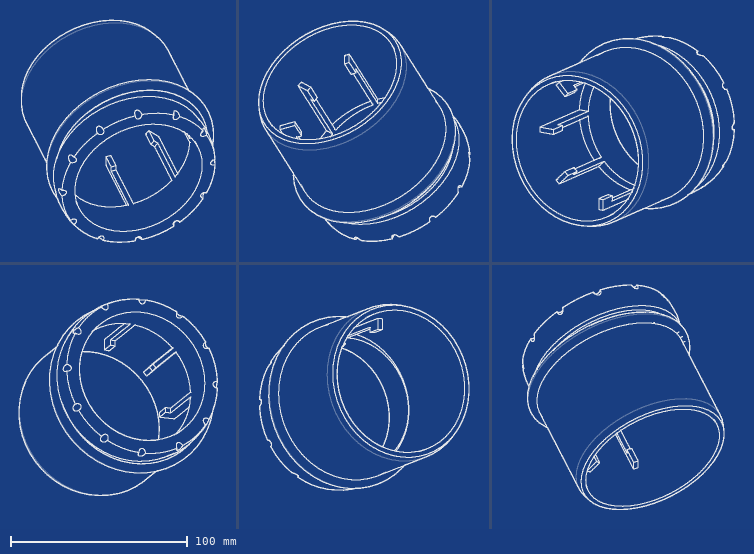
import cadquery as cq

TUBE_RADIUS = 90.2 / 2
WALL = 4.2
BORE_RADIUS = TUBE_RADIUS - WALL
CHAMFER_LENGTH = 4.3
CHAMFER_DEPTH = 1.3

BEAD_RADIUS = 3.2
BEAD_X = 64.9
BEAD_OUTER_RADIUS = 49.5

NECK_RADIUS = 84.0 / 2
NECK_BORE_RADIUS = NECK_RADIUS - WALL
HEAD_SHIFT = -2.9
TAPER_START = BEAD_X + BEAD_RADIUS
NECK_START = 71.6
HEAD_START = 73.6
TOTAL_LENGTH = 89.4
HEAD_EDGE_RADIUS = 45.5
HEAD_CROWN_RADIUS = 46.6
SHELF_X = 66.3

RIB_ANGLES = (-90, -45, 0, 45, 90)
RIB_WIDTH = 2.9
RIB_START = 24.75
RIB_TALL_LENGTH = 9.7
RIB_TIP_RADIUS = 34.7
RIB_OVERLAP = 1

NOTCH_COUNT = 12
NOTCH_RADIUS = 2
NOTCH_TILT = 44
NOTCH_CUTTER_LENGTH = 7.9


def disc(radius, start, end, shift=0):
    """Solid cylinder along X between two stations, shifted along Y."""
    return cq.Workplane("YZ", origin=(start, shift, 0)).circle(radius).extrude(end - start)


def make_tube():
    tube = disc(TUBE_RADIUS, 0, TAPER_START)
    return tube.faces("<X").chamfer(CHAMFER_LENGTH, CHAMFER_DEPTH)


def make_bead():
    bead = cq.Solid.makeTorus(
        BEAD_OUTER_RADIUS - BEAD_RADIUS, BEAD_RADIUS, cq.Vector(BEAD_X, 0, 0), cq.Vector(1, 0, 0)
    )
    return cq.Workplane(obj=bead)


def make_taper():
    """Skewed cone from the tube to the shifted neck."""
    return (
        cq.Workplane("YZ", origin=(TAPER_START, 0, 0))
        .circle(TUBE_RADIUS)
        .workplane(offset=NECK_START - TAPER_START)
        .center(HEAD_SHIFT, 0)
        .circle(NECK_RADIUS)
        .loft(ruled=True)
    )


def make_head():
    """Crowned head revolved about the shifted axis."""
    crown_x = (HEAD_START + TOTAL_LENGTH) / 2
    return (
        cq.Workplane("XY", origin=(0, HEAD_SHIFT, 0))
        .moveTo(HEAD_START, 0)
        .lineTo(HEAD_START, HEAD_EDGE_RADIUS)
        .threePointArc((crown_x, HEAD_CROWN_RADIUS), (TOTAL_LENGTH, HEAD_EDGE_RADIUS))
        .lineTo(TOTAL_LENGTH, 0)
        .close()
        .revolve(360, (0, 0, 0), (1, 0, 0))
    )


def make_rib(angle):
    """Radial rib: a tall front block, then a low run flush with the neck bore."""
    outer = BORE_RADIUS + RIB_OVERLAP
    blade = (
        cq.Workplane("XY")
        .box(SHELF_X - RIB_START, outer, RIB_WIDTH, centered=(False, False, True))
        .translate((RIB_START, 0, 0))
        .rotate((0, 0, 0), (1, 0, 0), angle)
    )
    step_x = RIB_START + RIB_TALL_LENGTH
    blade = blade.cut(disc(RIB_TIP_RADIUS, RIB_START, step_x, HEAD_SHIFT))
    return blade.cut(disc(NECK_BORE_RADIUS, step_x, SHELF_X, HEAD_SHIFT))


def make_notch(angle):
    """Tilted round cutter that deepens toward the end face of the head."""
    return (
        cq.Workplane("YZ")
        .circle(NOTCH_RADIUS)
        .extrude(NOTCH_CUTTER_LENGTH, both=True)
        .rotate((0, 0, 0), (0, 1, 0), NOTCH_TILT)
        .translate((TOTAL_LENGTH, 0, HEAD_EDGE_RADIUS))
        .rotate((0, 0, 0), (1, 0, 0), angle)
        .translate((0, HEAD_SHIFT, 0))
    )


neck = disc(NECK_RADIUS, NECK_START, HEAD_START, HEAD_SHIFT)
result = make_tube().union(make_bead()).union(make_taper()).union(neck).union(make_head())

result = result.cut(disc(BORE_RADIUS, 0, SHELF_X))
result = result.cut(disc(NECK_BORE_RADIUS, SHELF_X, TOTAL_LENGTH, HEAD_SHIFT))

for rib_angle in RIB_ANGLES:
    result = result.union(make_rib(rib_angle))

for notch_index in range(NOTCH_COUNT):
    result = result.cut(make_notch(notch_index * 360 / NOTCH_COUNT))